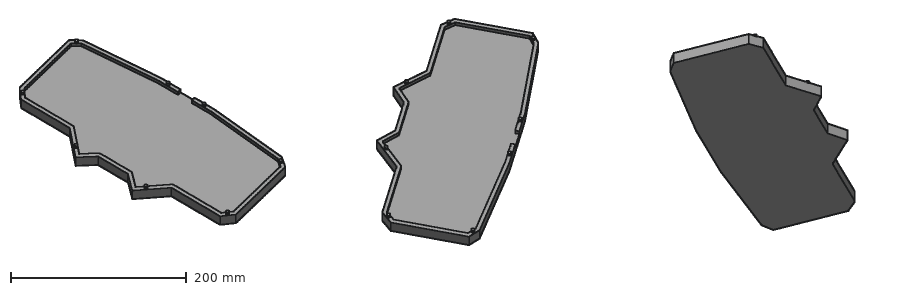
import cadquery as cq

length = 312.0
depth = 154.5
total_height = 18.0
pin_height = 3.0
tray_height = total_height - pin_height

wall = 5.0
rim_height = 5.0
gap_width = 20.0

half_length = length / 2
corner_inset = 12.5
corner_x = half_length - corner_inset
back_flat_half = 38.0
back_corner_y = 144.8
side_back_y = 135.5
side_front_y = 44.0
front_y = 31.0
point_root_x = 73.3
point_tip_x = 41.0
notch_half = 21.5
notch_y = 17.0

pin_diameter = 4.0
pin_centres = [
    (26.0, 151.5),
    (147.3, 138.0),
    (147.5, 39.3),
    (50.2, 13.0),
]


def mirror_left(points):
    return [(-x, y) for x, y in points]


def make_outline():
    right_half = [
        (back_flat_half, depth),
        (corner_x, back_corner_y),
        (half_length, side_back_y),
        (half_length, side_front_y),
        (corner_x, front_y),
        (point_root_x, front_y),
        (point_tip_x, 0),
        (notch_half, notch_y),
    ]
    left_half = mirror_left(reversed(right_half))
    return cq.Workplane("XY").polyline(right_half + left_half).close()


def make_tray():
    floor_z = tray_height - rim_height
    body = make_outline().extrude(tray_height)
    pocket = make_outline().offset2D(-wall, "intersection").extrude(rim_height)
    return body.cut(pocket.translate((0, 0, floor_z)))


def make_back_gap():
    return (
        cq.Workplane("XY", origin=(0, depth, tray_height - rim_height))
        .rect(gap_width, 2 * wall)
        .extrude(rim_height)
    )


def make_pins():
    return (
        cq.Workplane("XY", origin=(0, 0, tray_height))
        .pushPoints(pin_centres + mirror_left(pin_centres))
        .circle(pin_diameter / 2)
        .extrude(pin_height)
    )


result = make_tray().cut(make_back_gap()).union(make_pins())